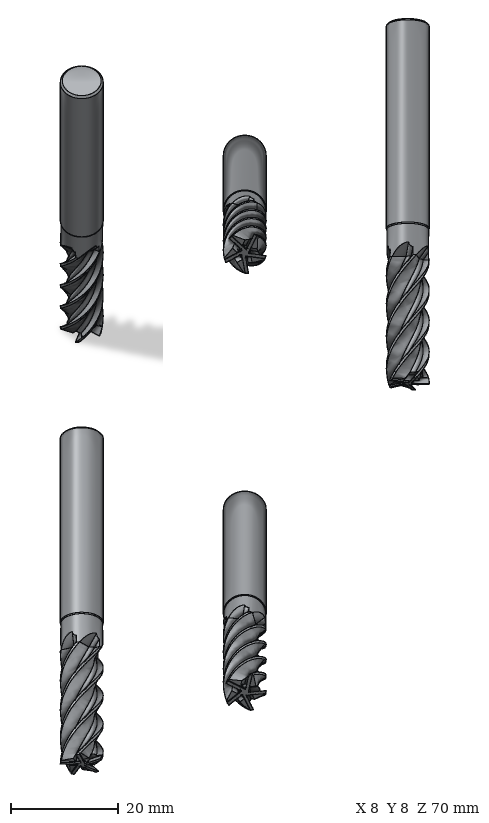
import cadquery as cq
import math

cutter_radius = 4.0
overall_length = 70.0
cutting_length = 24.0
neck_end = 30.0

shank_radius = cutter_radius
shank_chamfer = 0.4
neck_radius = 3.9
neck_chamfer_height = 0.25

flute_count = 5
flute_spacing = 360 / flute_count
first_tooth_angle = 180.0
helix_angle = 40.0
helix_lead = 2 * math.pi * cutter_radius / math.tan(math.radians(helix_angle))
cutting_twist = 360 * cutting_length / helix_lead

land_angle = 9.0
land_end_radius = 3.93
core_radius = 2.35
gullet_start_angle = 49.0
rake_root_radius = 2.85
rake_root_angle = 70.0
gullet_sagitta = 0.2

runout_height = 2.7
runout_outward = cutter_radius - core_radius
runout_sideways = 0.8
void_radius = 1.5 * cutter_radius

gash_height = 1.45
gash_lean = gash_height * math.tan(math.radians(helix_angle))
gash_flat_start = -0.2
gash_heel = -1.2
gash_inner_radius = 1.0

end_relief_height = 0.3
end_land_width = cutter_radius * math.sin(math.radians(land_angle))


def polar(radius, angle):
    """Point at a radius and an angle in degrees around the tool axis."""
    return (radius * math.cos(math.radians(angle)), radius * math.sin(math.radians(angle)))


def tooth_angles(height):
    """Angles of the cutting edges at a height above the tip."""
    turned = first_tooth_angle + 360 * height / helix_lead
    return [turned + index * flute_spacing for index in range(flute_count)]


def add_tooth_back_and_gullet(section, edge_angle):
    """From the end of a land: tooth back, gullet floor and rake face, up to the next cutting edge."""
    floor_start = cq.Vector(*polar(core_radius, edge_angle + gullet_start_angle))
    rake_root = cq.Vector(*polar(rake_root_radius, edge_angle + rake_root_angle))
    section = section.lineTo(floor_start.x, floor_start.y)
    section = section.sagittaArc(rake_root.toTuple()[:2], -gullet_sagitta)
    return section.lineTo(*polar(cutter_radius, edge_angle + flute_spacing))


def fluted_blank():
    """Twisted bar with one land, back and gullet for each tooth."""
    section = cq.Workplane("XY").moveTo(*polar(cutter_radius, first_tooth_angle))
    for edge_angle in tooth_angles(0):
        section = section.lineTo(*polar(land_end_radius, edge_angle + land_angle))
        section = add_tooth_back_and_gullet(section, edge_angle)
    return section.close().twistExtrude(cutting_length, cutting_twist)


def end_gash(edge_angle):
    """Notch ahead of a tooth, as a bar running outward along the cutting edge."""
    outward = cq.Vector(*polar(1, edge_angle))
    sideways = cq.Vector(*polar(1, edge_angle + 90))
    plane = cq.Plane(origin=outward * gash_inner_radius, xDir=sideways, normal=outward)
    profile = [(0, 0), (gash_lean, gash_height), (gash_flat_start, gash_height), (gash_heel, 0)]
    return cq.Workplane(plane).polyline(profile).close().extrude(cutter_radius)


def end_relief(edge_angle):
    """Shallow step from the end land of a tooth round to the next cutting edge."""
    next_edge = edge_angle + flute_spacing
    inner_radius = end_land_width / math.sin(math.radians(flute_spacing))
    land_end = math.degrees(math.asin(end_land_width / void_radius))
    outline = [
        polar(inner_radius, next_edge),
        polar(void_radius, next_edge),
        polar(void_radius, edge_angle + flute_spacing / 2),
        polar(void_radius, edge_angle + land_end),
    ]
    return cq.Workplane("XY").polyline(outline).close().extrude(end_relief_height)


def flute_runout(edge_angle):
    """Gullet behind a tooth carried on upward while it slides out of the neck."""
    land_end = edge_angle + land_angle
    next_edge = edge_angle + flute_spacing
    section = cq.Workplane("XY", origin=(0, 0, cutting_length))
    section = section.moveTo(*polar(land_end_radius, land_end))
    section = add_tooth_back_and_gullet(section, edge_angle)
    section = section.lineTo(*polar(void_radius, next_edge)).lineTo(*polar(void_radius, land_end)).close()
    middle_angle = edge_angle + gullet_start_angle
    outward = cq.Vector(*polar(runout_outward, middle_angle))
    sideways = cq.Vector(*polar(runout_sideways, middle_angle + 90))
    path = outward + sideways + cq.Vector(0, 0, runout_height)
    return cq.Workplane(cq.Solid.extrudeLinear(section.val(), [], path))


def cutting_part():
    """Fluted length with the gashes and reliefs of its end teeth."""
    part = fluted_blank()
    for edge_angle in tooth_angles(0):
        part = part.cut(end_gash(edge_angle)).cut(end_relief(edge_angle))
    return part


def shank():
    """Plain shank with a slightly thinner neck that holds the run-outs."""
    shank_start = cq.Workplane("XY", origin=(0, 0, neck_end))
    body = shank_start.circle(shank_radius).extrude(overall_length - neck_end)
    body = body.faces(">Z").chamfer(shank_chamfer)
    body = body.faces("<Z").chamfer(neck_chamfer_height, shank_radius - neck_radius)
    neck_start = cq.Workplane("XY", origin=(0, 0, cutting_length))
    neck = neck_start.circle(neck_radius).extrude(neck_end - cutting_length)
    body = body.union(neck)
    for edge_angle in tooth_angles(cutting_length):
        body = body.cut(flute_runout(edge_angle))
    return body


cutter = cutting_part()
holder = shank()
result = cq.Compound.makeCompound([cutter.solids().val(), holder.solids().val()])